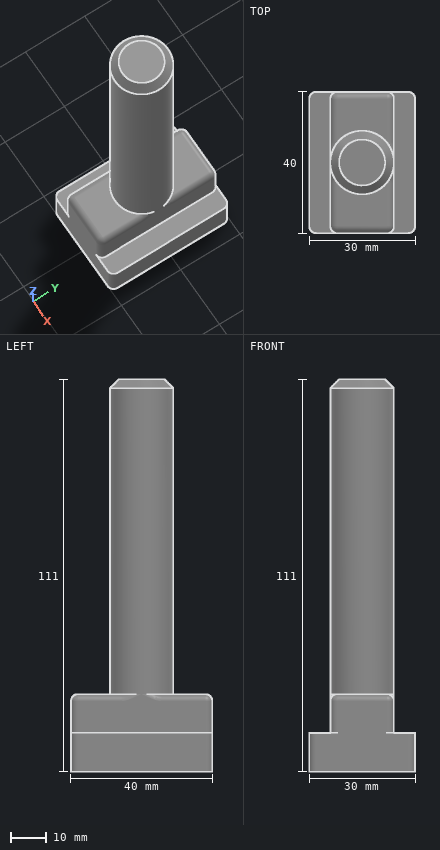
import math

import cadquery as cq

head_width = 30.0
length = 40.0
head_height = 11.0

shank_diameter = 18.0
neck_width = shank_diameter
neck_top = 22.0
total_height = 111.0

edge_radius = 2.0
tip_chamfer = 2.5

shank_radius = shank_diameter / 2
rounding_center_x = neck_width / 2 - edge_radius
overlap_half_length = math.sqrt(shank_radius**2 - rounding_center_x**2)
runout_section_count = 13


def make_head():
    """Rectangular head with rounded upright corners."""
    head = cq.Workplane("XY").box(head_width, length, head_height, centered=(True, True, False))
    return head.edges("|Z").fillet(edge_radius)


def make_neck():
    """Neck block, sunk through the head, with rounded upright corners and top rim."""
    neck = cq.Workplane("XY").box(neck_width, length, neck_top, centered=(True, True, False))
    return neck.edges("|Z or >Z").fillet(edge_radius)


def make_shank():
    """Round shank with a chamfered tip, standing on the neck."""
    shank = (
        cq.Workplane("XY")
        .workplane(offset=neck_top)
        .circle(shank_radius)
        .extrude(total_height - neck_top)
    )
    return shank.faces(">Z").chamfer(tip_chamfer)


def runout_section(y):
    """Section at y: a quarter round tangent to the neck side that meets the shank foot circle."""
    foot_offset = math.sqrt(shank_radius**2 - y**2) - rounding_center_x
    center_z = neck_top - math.sqrt(max(edge_radius**2 - foot_offset**2, 0))
    diagonal = edge_radius * math.cos(math.radians(45))
    inner_x = rounding_center_x
    outer_x = neck_width / 2
    inner_top = cq.Vector(inner_x, y, center_z + edge_radius)
    outer_top = cq.Vector(outer_x, y, center_z)
    arc_middle = cq.Vector(inner_x + diagonal, y, center_z + diagonal)
    inner_bottom = cq.Vector(inner_x, y, head_height)
    outer_bottom = cq.Vector(outer_x, y, head_height)
    return cq.Wire.assembleEdges([
        cq.Edge.makeThreePointArc(inner_top, arc_middle, outer_top),
        cq.Edge.makeLine(outer_top, outer_bottom),
        cq.Edge.makeLine(outer_bottom, inner_bottom),
        cq.Edge.makeLine(inner_bottom, inner_top),
    ])


def make_runout():
    """Fill under the shank where the rounding of the neck edge dwindles to nothing at Y = 0."""
    step = overlap_half_length / (runout_section_count - 1)
    sections = [runout_section(i * step) for i in range(runout_section_count)]
    loft = cq.Workplane(obj=cq.Solid.makeLoft(sections))
    below_neck_top = cq.Workplane("XY").box(
        neck_width, length, neck_top, centered=(True, True, False)
    )
    return loft.intersect(below_neck_top)


neck = make_neck()
runout = make_runout()
for part in (runout, runout.mirror("YZ")):
    neck = neck.union(part).union(part.mirror("XZ"))

result = make_head().union(neck).union(make_shank())